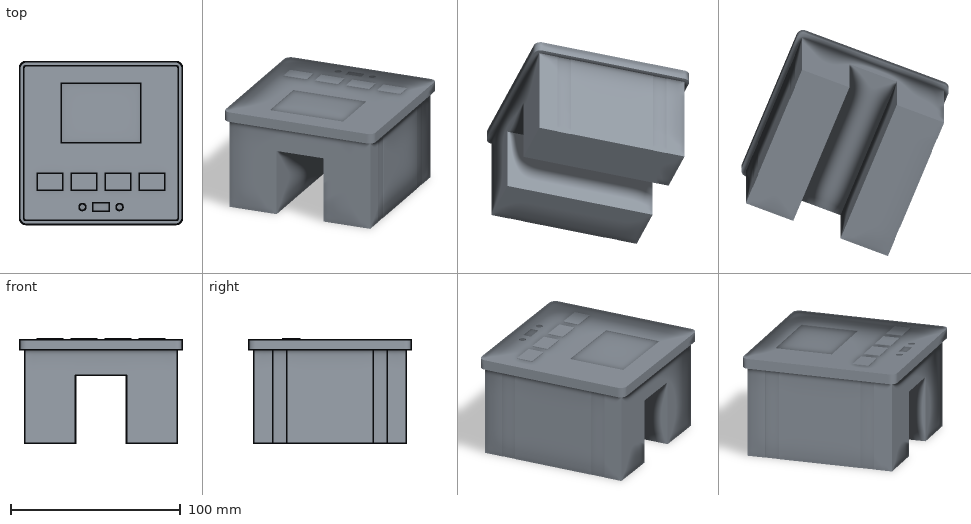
import cadquery as cq

bezel_side = 96.0
bezel_height = 6.0
bezel_corner_radius = 4.0
case_side = 90.0
case_height = 55.0
bezel_top = case_height + bezel_height

channel_width = 30.0
channel_height = 40.0

groove_width = 8.4
groove_depth = 0.2
groove_offset = 29.6

plate_side = 90.8
plate_thickness = 0.5
plate_corner_radius = 1.0
plate_bottom = bezel_top - plate_thickness

window_width = 46.8
window_length = 35.1
window_y = 17.7

button_count = 4
button_width = 15.1
button_length = 10.0
button_height = 0.5
button_pitch = 20.0
button_y = -22.8

connector_width = 10.0
connector_length = 5.0
indicator_diameter = 4.0
indicator_offset = 10.9
connector_y = -37.7


def block(width, length, height, bottom, x=0, y=0):
    """Upright box centred at (x, y), standing on the level `bottom`."""
    return (
        cq.Workplane("XY")
        .box(width, length, height, centered=(True, True, False))
        .translate((x, y, bottom))
    )


def plate_blank():
    """Round-cornered square that fills the recess in the bezel."""
    blank = block(plate_side, plate_side, plate_thickness, plate_bottom)
    return blank.edges("|Z").fillet(plate_corner_radius)


def make_housing():
    """Case and bezel with the channel, side grooves and face plate recess."""
    bezel = block(bezel_side, bezel_side, bezel_height, case_height)
    bezel = bezel.edges("|Z").fillet(bezel_corner_radius)
    housing = block(case_side, case_side, case_height, 0).union(bezel)
    housing = housing.cut(block(channel_width, case_side, channel_height, 0))

    groove_x = (case_side - groove_depth) / 2
    for x in (-groove_x, groove_x):
        for y in (-groove_offset, groove_offset):
            housing = housing.cut(block(groove_depth, groove_width, case_height, 0, x, y))

    return housing.cut(plate_blank())


def make_face_plate():
    """Thin plate with its openings and a row of raised buttons."""
    plate = plate_blank()
    plate = plate.cut(block(window_width, window_length, plate_thickness, plate_bottom, 0, window_y))
    plate = plate.cut(block(connector_width, connector_length, plate_thickness, plate_bottom, 0, connector_y))

    indicators = (
        cq.Workplane("XY", origin=(0, connector_y, plate_bottom))
        .pushPoints([(-indicator_offset, 0), (indicator_offset, 0)])
        .circle(indicator_diameter / 2)
        .extrude(plate_thickness)
    )
    plate = plate.cut(indicators)

    for index in range(button_count):
        x = (index - (button_count - 1) / 2) * button_pitch
        plate = plate.union(block(button_width, button_length, button_height, bezel_top, x, button_y))
    return plate


housing = make_housing()
face_plate = make_face_plate()
result = cq.Compound.makeCompound([housing.val(), face_plate.val()])